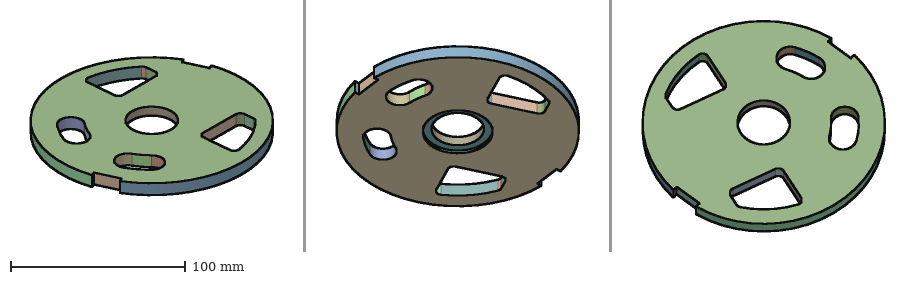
import cadquery as cq
import math

disc_radius = 69.5
thickness = 8.0
bore_radius = 15.0

counterbore_radius = 20.0
counterbore_depth = 2.0

window_inner_x = 31.1
window_bottom_y = 6.1
window_top_y = 40.9
window_arc_radius = 59.5
window_corner_radius = 3.5

slot_path_radius = 46.5
slot_half_width = 7.9
slot_start_angle = 48.0
slot_end_angle = 64.6

notch_angle = 110.0
notch_width = 17.2
notch_floor_distance = 66.0
notch_cutter_depth = 7.0


def polar(radius, degrees):
    angle = math.radians(degrees)
    return (radius * math.cos(angle), radius * math.sin(angle))


def make_window():
    """Window on the +X side, with rounded corners."""
    bottom_angle = math.degrees(math.asin(window_bottom_y / window_arc_radius))
    top_angle = math.degrees(math.asin(window_top_y / window_arc_radius))
    return (
        cq.Workplane("XY")
        .moveTo(window_inner_x, window_bottom_y)
        .lineTo(*polar(window_arc_radius, bottom_angle))
        .threePointArc(
            polar(window_arc_radius, (bottom_angle + top_angle) / 2),
            polar(window_arc_radius, top_angle),
        )
        .lineTo(window_inner_x, window_top_y)
        .close()
        .extrude(thickness)
        .edges("|Z")
        .fillet(window_corner_radius)
    )


def make_slot():
    """Round-ended slot on the +X side, curved about the disc centre."""
    inner_radius = slot_path_radius - slot_half_width
    outer_radius = slot_path_radius + slot_half_width
    middle_angle = -(slot_start_angle + slot_end_angle) / 2
    band = (
        cq.Workplane("XY")
        .moveTo(*polar(inner_radius, -slot_start_angle))
        .lineTo(*polar(outer_radius, -slot_start_angle))
        .threePointArc(
            polar(outer_radius, middle_angle),
            polar(outer_radius, -slot_end_angle),
        )
        .lineTo(*polar(inner_radius, -slot_end_angle))
        .threePointArc(
            polar(inner_radius, middle_angle),
            polar(inner_radius, -slot_start_angle),
        )
        .close()
        .extrude(thickness)
    )
    end_centers = [polar(slot_path_radius, -angle) for angle in (slot_start_angle, slot_end_angle)]
    ends = cq.Workplane("XY").pushPoints(end_centers).circle(slot_half_width).extrude(thickness)
    return band.union(ends)


def make_notch(angle):
    """Flat-floored cutter reaching past the rim at the given angle."""
    return (
        cq.Workplane("XY")
        .box(notch_cutter_depth, notch_width, thickness, centered=(False, True, False))
        .translate((notch_floor_distance, 0, 0))
        .rotate((0, 0, 0), (0, 0, 1), angle)
    )


result = cq.Workplane("XY").circle(disc_radius).circle(bore_radius).extrude(thickness)
counterbore = cq.Workplane("XY").circle(counterbore_radius).extrude(counterbore_depth)
result = result.cut(counterbore)

for opening in (make_window(), make_slot()):
    result = result.cut(opening).cut(opening.mirror("YZ"))

for angle in (notch_angle, notch_angle + 180):
    result = result.cut(make_notch(angle))